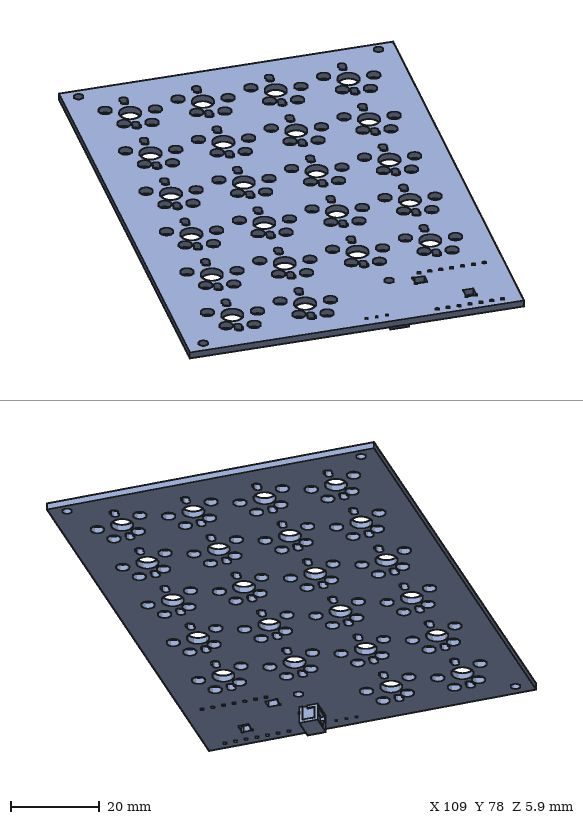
import cadquery as cq

BOARD_LENGTH = 109.0
BOARD_WIDTH = 78.0
BOARD_THICKNESS = 1.6
OVERALL_HEIGHT = 5.9

KEY_PITCH = 17.0
FIRST_KEY_X = -42.6
FIRST_KEY_Y = -25.7
KEYS_PER_COLUMN = [4, 4, 4, 4, 4, 2]

STEM_DIAMETER = 5.0
SOCKET_DIAMETER = 3.0
SOCKET_OFFSETS = [(0, 5.9), (5.0, 3.7), (3.8, -2.5), (-2.5, -5.1)]
OUTER_POST_DIAMETER = 2.0
OUTER_POST_OFFSET = 5.6
INNER_POST_DIAMETER = 1.7
INNER_POST_OFFSET = 4.6

MOUNT_DIAMETER = 2.2
MOUNT_POSITIONS = [(-52.3, 35.0), (-52.1, -35.1), (51.7, -35.1), (38.5, 12.0)]

PIN_HOLE_DIAMETER = 0.82
PIN_COUNT = 7
PIN_ROW_SPAN = 15.3
PIN_PITCH = PIN_ROW_SPAN / (PIN_COUNT - 1)
PIN_ROWS_X = [37.3, 52.5]
LAST_PIN_Y = 19.3

WIRE_HOLE_DIAMETER = 0.5
WIRE_PITCH = 2.4
WIRE_COUNT = 3
WIRE_X = 51.9
FIRST_WIRE_Y = 2.9

OPENING_WIDTH = 2.4
OPENING_LENGTH = 2.7
RELIEF_DIAMETER = 0.7
RELIEF_INSET = 0.1
OPENINGS = [((48.1, 28.1), 90), ((40.1, 18.7), 0)]

CONNECTOR_X = 46.4
CONNECTOR_WIDTH = 5.7
CONNECTOR_FRONT_Y = 9.3
CONNECTOR_DEPTH = 4.4
CONNECTOR_HEIGHT = OVERALL_HEIGHT - BOARD_THICKNESS

POCKET_WIDTH = 3.9
POCKET_HEIGHT = 1.6
POCKET_DEPTH = 3.3
POCKET_TOP_DROP = 0.7
SLOT_WIDTH = 2.0
SLOT_HEIGHT = 1.4

FLANK_RECESS = 0.3
FLANK_MARGIN = 0.8
FLANK_DROP = 0.7
FLANK_HEIGHT = 2.8
FLANK_NOTCH_DEPTH = 1.1

CONTACT_PITCH = 1.3
CONTACT_COUNT = 2
CONTACT_THICKNESS = 0.3
CONTACT_HEIGHT = 1.1
CONTACT_LENGTH = 2.4
FOOT_LENGTH = 1.0
FOOT_THICKNESS = 0.3


def drill(points, diameter):
    """Cutters for round holes through the board."""
    return (
        cq.Workplane("XY")
        .workplane(offset=-BOARD_THICKNESS)
        .pushPoints(points)
        .circle(diameter / 2)
        .extrude(BOARD_THICKNESS)
    )


def around_keys(offsets):
    """Positions of the given offsets at every key."""
    return [
        (FIRST_KEY_X + column * KEY_PITCH + dx, FIRST_KEY_Y + row * KEY_PITCH + dy)
        for column, rows in enumerate(KEYS_PER_COLUMN)
        for row in range(rows)
        for dx, dy in offsets
    ]


def both_sides(offset):
    """The pair of offsets left and right of a key."""
    return [(-offset, 0), (offset, 0)]


def relieved_opening(centre, angle):
    """Rectangular cutter with round reliefs at the two corners of its lower side."""
    relief_x = OPENING_WIDTH / 2 - RELIEF_INSET
    relief_y = RELIEF_INSET - OPENING_LENGTH / 2
    opening = cq.Workplane("XY").rect(OPENING_WIDTH, OPENING_LENGTH).extrude(-BOARD_THICKNESS)
    reliefs = drill([(-relief_x, relief_y), (relief_x, relief_y)], RELIEF_DIAMETER)
    cutter = opening.union(reliefs)
    return cutter.rotate((0, 0, 0), (0, 0, 1), angle).translate((*centre, 0))


def make_board():
    board = cq.Workplane("XY").rect(BOARD_LENGTH, BOARD_WIDTH).extrude(-BOARD_THICKNESS)

    board = board.cut(drill(around_keys([(0, 0)]), STEM_DIAMETER))
    board = board.cut(drill(around_keys(SOCKET_OFFSETS), SOCKET_DIAMETER))
    board = board.cut(drill(around_keys(both_sides(OUTER_POST_OFFSET)), OUTER_POST_DIAMETER))
    board = board.cut(drill(around_keys(both_sides(INNER_POST_OFFSET)), INNER_POST_DIAMETER))

    pins = [(x, LAST_PIN_Y + i * PIN_PITCH) for x in PIN_ROWS_X for i in range(PIN_COUNT)]
    wires = [(WIRE_X, FIRST_WIRE_Y + i * WIRE_PITCH) for i in range(WIRE_COUNT)]
    board = board.cut(drill(MOUNT_POSITIONS, MOUNT_DIAMETER))
    board = board.cut(drill(pins, PIN_HOLE_DIAMETER))
    board = board.cut(drill(wires, WIRE_HOLE_DIAMETER))

    for centre, angle in OPENINGS:
        board = board.cut(relieved_opening(centre, angle))
    return board


def hanging_box(width, depth, height, x, front_y, drop):
    """Box centred on x that starts at front_y and hangs a drop below the board."""
    return (
        cq.Workplane("XY")
        .box(width, depth, height, centered=(True, False, False))
        .translate((x, front_y, -BOARD_THICKNESS - drop - height))
    )


def make_connector():
    back_y = CONNECTOR_FRONT_Y + CONNECTOR_DEPTH
    body = hanging_box(
        CONNECTOR_WIDTH, CONNECTOR_DEPTH, CONNECTOR_HEIGHT, CONNECTOR_X, CONNECTOR_FRONT_Y, 0
    )

    slot_drop = POCKET_TOP_DROP + POCKET_HEIGHT
    pocket = hanging_box(
        POCKET_WIDTH, POCKET_DEPTH, POCKET_HEIGHT, CONNECTOR_X, CONNECTOR_FRONT_Y, POCKET_TOP_DROP
    )
    slot = hanging_box(
        SLOT_WIDTH, CONNECTOR_DEPTH, SLOT_HEIGHT, CONNECTOR_X, CONNECTOR_FRONT_Y, slot_drop
    )
    body = body.cut(pocket).cut(slot)

    panel_depth = CONNECTOR_DEPTH - 2 * FLANK_MARGIN
    for side in (-1, 1):
        panel_x = CONNECTOR_X + side * (CONNECTOR_WIDTH - FLANK_RECESS) / 2
        panel_y = CONNECTOR_FRONT_Y + FLANK_MARGIN
        body = body.cut(
            hanging_box(FLANK_RECESS, panel_depth, FLANK_HEIGHT, panel_x, panel_y, FLANK_DROP)
        )
        notch_y = panel_y + panel_depth - FLANK_NOTCH_DEPTH
        body = body.cut(
            hanging_box(FLANK_RECESS, FLANK_NOTCH_DEPTH, FLANK_DROP, panel_x, notch_y, 0)
        )

    blade_y = CONNECTOR_FRONT_Y + POCKET_DEPTH - CONTACT_LENGTH
    blade_drop = POCKET_TOP_DROP + (POCKET_HEIGHT - CONTACT_HEIGHT) / 2
    for i in range(CONTACT_COUNT):
        x = CONNECTOR_X + (i - (CONTACT_COUNT - 1) / 2) * CONTACT_PITCH
        blade = hanging_box(
            CONTACT_THICKNESS, CONTACT_LENGTH, CONTACT_HEIGHT, x, blade_y, blade_drop
        )
        foot = hanging_box(CONTACT_THICKNESS, FOOT_LENGTH, FOOT_THICKNESS, x, back_y, 0)
        body = body.union(blade).union(foot)
    return body


board = make_board()
connector = make_connector()

result = cq.Compound.makeCompound([board.val(), connector.val()])